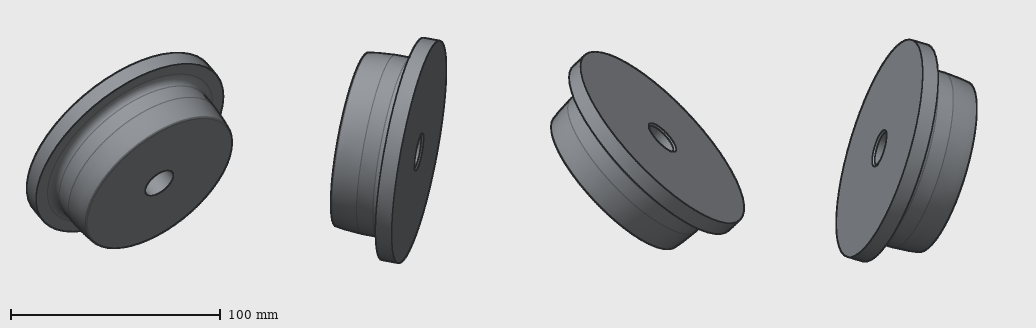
import cadquery as cq

total_width = 33.0
flange_radius = 54.0
flange_width = 8.0
hub_radius = 43.5
root_fillet = 4.0
straight_end = 20.0
crown_end_radius = 42.3
crown_bulge = 0.2
rim_round = 0.6
bore_radius = 8.1
bore_chamfer = 1.0

fillet_end = flange_width + root_fillet
crown_end = total_width - rim_round
crown_middle = (
    (straight_end + crown_end) / 2,
    (hub_radius + crown_end_radius) / 2 + crown_bulge,
)

profile = (
    cq.Workplane("XY")
    .lineTo(0, flange_radius)
    .lineTo(flange_width, flange_radius)
    .lineTo(flange_width, hub_radius + root_fillet)
    .radiusArc((fillet_end, hub_radius), -root_fillet)
    .lineTo(straight_end, hub_radius)
    .threePointArc(crown_middle, (crown_end, crown_end_radius))
    .radiusArc((total_width, crown_end_radius - rim_round), rim_round)
    .lineTo(total_width, 0)
    .close()
)
wheel = profile.revolve(360, (0, 0, 0), (1, 0, 0))

bore = cq.Workplane("YZ").circle(bore_radius).extrude(total_width)
mouth = cq.Solid.makeCone(
    bore_radius + bore_chamfer,
    bore_radius,
    bore_chamfer,
    cq.Vector(0, 0, 0),
    cq.Vector(1, 0, 0),
)
result = wheel.cut(bore).cut(cq.Workplane(mouth))